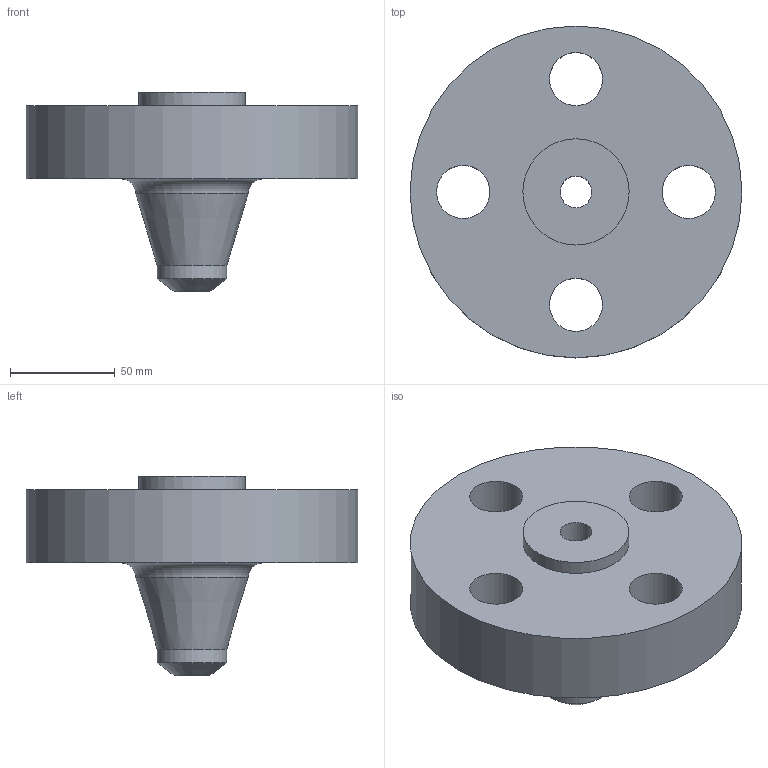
import cadquery as cq
import math

flange_diameter = 158.75
flange_thickness = 35.05
flange_radius = flange_diameter / 2

face_diameter = 50.8
face_height = 6.35
face_radius = face_diameter / 2

bolt_hole_diameter = 25.4
bolt_circle_diameter = 107.95
bolt_count = 4

overall_height = 95.25
bore_diameter = 15.2
weld_end_diameter = 33.4
weld_end_length = 6.35
hub_diameter = 53.8
hub_fillet_radius = 7.0
bevel_angle = 37.5
land_width = 1.0

bore_radius = bore_diameter / 2
weld_end_radius = weld_end_diameter / 2
hub_radius = hub_diameter / 2
land_radius = bore_radius + land_width
bevel_height = (weld_end_radius - land_radius) * math.tan(math.radians(bevel_angle))

bevel_top = bevel_height
taper_bottom = bevel_top + weld_end_length
face_top = overall_height
flange_top = face_top - face_height
flange_bottom = flange_top - flange_thickness
taper_top = flange_bottom - hub_fillet_radius


def make_body():
    """Revolve the flange section about Z; the root fillet is a quarter circle above the taper."""
    diagonal = hub_fillet_radius * (1 - math.sqrt(0.5))
    section = (
        cq.Workplane("XZ")
        .moveTo(bore_radius, 0)
        .lineTo(land_radius, 0)
        .lineTo(weld_end_radius, bevel_top)
        .lineTo(weld_end_radius, taper_bottom)
        .lineTo(hub_radius, taper_top)
        .threePointArc(
            (hub_radius + diagonal, flange_bottom - diagonal),
            (hub_radius + hub_fillet_radius, flange_bottom),
        )
        .lineTo(flange_radius, flange_bottom)
        .lineTo(flange_radius, flange_top)
        .lineTo(face_radius, flange_top)
        .lineTo(face_radius, face_top)
        .lineTo(bore_radius, face_top)
        .close()
    )
    return section.revolve(360, (0, 0, 0), (0, 1, 0))


def make_bolt_holes():
    """Cylinders through the plate, equally spaced and starting on the X axis."""
    return (
        cq.Workplane("XY", origin=(0, 0, flange_bottom))
        .polarArray(bolt_circle_diameter / 2, 0, 360, bolt_count)
        .circle(bolt_hole_diameter / 2)
        .extrude(flange_thickness)
    )


result = make_body().cut(make_bolt_holes())